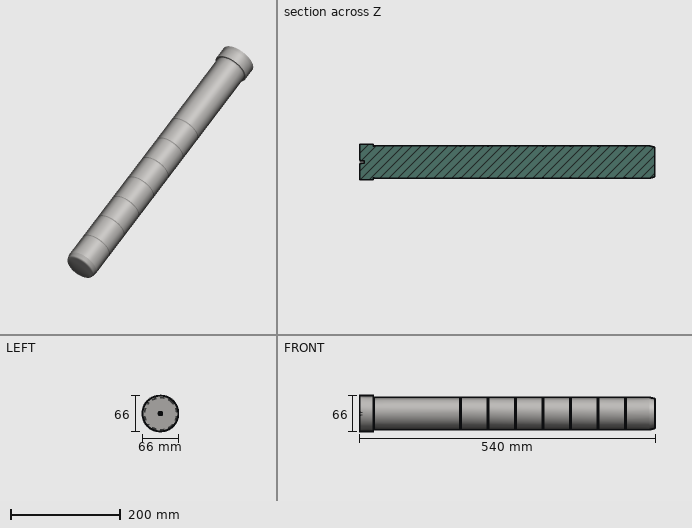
import cadquery as cq
import math

length = 540.0
head_diameter = 66.0
head_length = 25.5
shank_diameter = 60.0

relief_width = 1.5
relief_depth = 1.0

taper_length = 10.0
taper_drop = 2.5
rim_radius = 4.0

groove_count = 7
first_groove_x = 184.0
groove_pitch = 50.0
groove_width = 2.5
groove_depth = 0.8

centre_diameter = 7.0
centre_cone_angle = 60.0
pilot_diameter = 4.0
pilot_depth = 8.5

shank_radius = shank_diameter / 2
axis_start = (0, 0, 0)
axis_end = (1, 0, 0)


def revolve_about_x(profile):
    return profile.close().revolve(360, axis_start, axis_end)


def pin_body():
    """Head, relief, shank and tapered free end turned as one profile."""
    head_radius = head_diameter / 2
    relief_end = head_length + relief_width
    profile = (
        cq.Workplane("XY")
        .lineTo(0, head_radius)
        .lineTo(head_length, head_radius)
        .lineTo(head_length, shank_radius - relief_depth)
        .lineTo(relief_end, shank_radius)
        .lineTo(length - taper_length, shank_radius)
        .lineTo(length, shank_radius - taper_drop)
        .lineTo(length, 0)
    )
    return revolve_about_x(profile).faces(">X").edges().fillet(rim_radius)


def lubrication_groove(x):
    """Ring cutter with a V-shaped bottom, standing just proud of the shank."""
    half_width = groove_width / 2
    outer_radius = shank_radius + groove_depth
    profile = (
        cq.Workplane("XY")
        .moveTo(x - half_width, outer_radius)
        .lineTo(x - half_width, shank_radius)
        .lineTo(x, shank_radius - groove_depth)
        .lineTo(x + half_width, shank_radius)
        .lineTo(x + half_width, outer_radius)
    )
    return revolve_about_x(profile)


def centre_hole():
    """Conical centre with a small pilot bore at its tip."""
    centre_radius = centre_diameter / 2
    pilot_radius = pilot_diameter / 2
    cone_depth = (centre_radius - pilot_radius) / math.tan(math.radians(centre_cone_angle / 2))
    profile = (
        cq.Workplane("XY")
        .lineTo(0, centre_radius)
        .lineTo(cone_depth, pilot_radius)
        .lineTo(pilot_depth, pilot_radius)
        .lineTo(pilot_depth, 0)
    )
    return revolve_about_x(profile)


result = pin_body().cut(centre_hole())
for index in range(groove_count):
    result = result.cut(lubrication_groove(first_groove_x + index * groove_pitch))